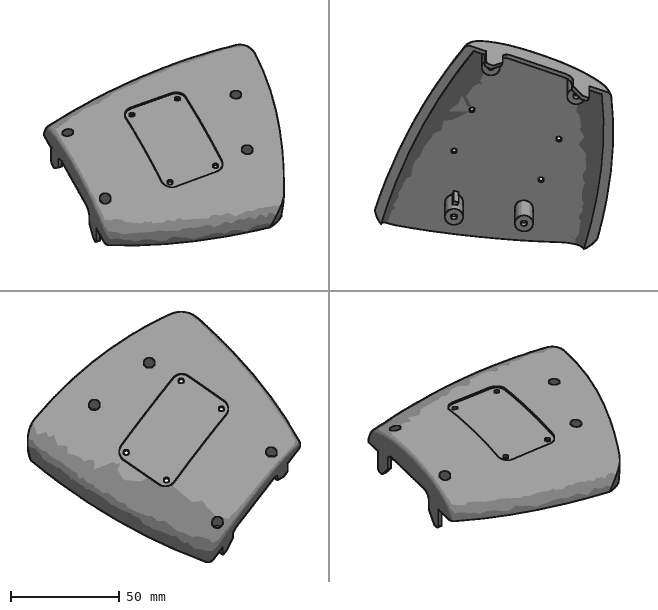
import cadquery as cq
import math


SECTIONS = [
    (0.0, -35.2, 36.2, 16.78, 0.34, 0.73),
    (35.0, -42.3, 50.0, 16.74, 0.40, 0.765),
    (70.0, -44.6, 57.4, 16.2, 0.46, 0.79),
    (108.0, -42.3, 61.0, 14.2, 0.47, 0.80),
]
HAUNCH_REACH = 0.94
SHOULDER_REACH = 0.70
RIM_ANGLE = 78.0
FRONT_FILLET = 3.0

ROOF_THICKNESS = 2.5
SIDE_THICKNESS = 4.8
FRONT_THICKNESS = 2.0

LEFT_CORNER_START = (-43.8, 95.9)
LEFT_CORNER_MIDDLE = (-38.9, 101.8)
BACK_LEFT = (-29.2, 104.88)
BACK_MIDDLE = (15.0, 97.1)
BACK_RIGHT = (49.4, 84.3)
RIGHT_CORNER_MIDDLE = (54.4, 80.5)
RIGHT_CORNER_END = (58.0, 72.3)
PLAN_MARGIN = 20.0

LEG_OUTER_X = 25.5
LEG_INNER_X = 17.4
LEG_DEPTH = 11.5
LEG_TIP_WIDTH = 3.4
LEG_TAPER_DEPTH = 5.4
LEG_TIP_FILLET = 1.6
OPENING_HEIGHT = 4.1
OPENING_RADIUS = 4.0

REAR_LEFT_POST = (-8.4, 85.9)
POST_CENTRES = [(-20.8, 6.4), (21.4, 6.4), REAR_LEFT_POST, (23.0, 77.5)]
POST_DIAMETER = 8.4
POST_DROP = 1.5
POST_RIB_WIDTH = 2.4
POST_RIB_X = -9.5
POST_RIB_BOTTOM = 2.6
POST_RIB_PROJECTION = 1.5
SCREW_DIAMETER = 2.8
SCREW_HEAD_DIAMETER = 5.1
SCREW_SEAT_THICKNESS = 3.0

RECESS_CENTRE = (3.4, 49.1)
RECESS_LENGTH = 50.5
RECESS_WIDTH = 30.3
RECESS_RADIUS = 5.0
RECESS_DEPTH = 1.0
RECESS_HOLE_SPACING_X = 43.0
RECESS_HOLE_SPACING_Y = 23.0
RECESS_HOLE_DIAMETER = 2.5

TALL = 30.0


def arch_wire(y, left, right, crown, haunch, shoulder):
    """Closed arch in the plane at Y = y: a smooth curve standing on the rim plane."""
    centre = (left + right) / 2
    half_width = (right - left) / 2
    haunch_offset = HAUNCH_REACH * half_width
    haunch_z = haunch * crown
    shoulder_offset = SHOULDER_REACH * half_width
    shoulder_z = shoulder * crown
    rise = math.radians(RIM_ANGLE)
    curve = cq.Edge.makeSpline(
        [
            cq.Vector(left, y, 0),
            cq.Vector(centre - haunch_offset, y, haunch_z),
            cq.Vector(centre - shoulder_offset, y, shoulder_z),
            cq.Vector(centre, y, crown),
            cq.Vector(centre + shoulder_offset, y, shoulder_z),
            cq.Vector(centre + haunch_offset, y, haunch_z),
            cq.Vector(right, y, 0),
        ],
        tangents=[
            cq.Vector(math.cos(rise), 0, math.sin(rise)),
            cq.Vector(math.cos(rise), 0, -math.sin(rise)),
        ],
        scale=False,
    )
    base = cq.Edge.makeLine(cq.Vector(right, y, 0), cq.Vector(left, y, 0))
    return cq.Wire.assembleEdges([curve, base])


def arch_body(side_inset=0.0, roof_inset=0.0):
    """Solid lofted through all sections, optionally set in from the outer surface."""
    wires = [
        arch_wire(y, left + side_inset, right - side_inset, crown - roof_inset, haunch, shoulder)
        for y, left, right, crown, haunch, shoulder in SECTIONS
    ]
    return cq.Workplane(obj=cq.Solid.makeLoft(wires))


def plan_prism():
    """Upright prism whose back end is the plan outline of the cover."""
    left_clear = LEFT_CORNER_START[0] - PLAN_MARGIN
    right_clear = RIGHT_CORNER_END[0] + PLAN_MARGIN
    return (
        cq.Workplane("XY", origin=(0, 0, -TALL))
        .moveTo(left_clear, -PLAN_MARGIN)
        .lineTo(left_clear, LEFT_CORNER_START[1])
        .lineTo(*LEFT_CORNER_START)
        .threePointArc(LEFT_CORNER_MIDDLE, BACK_LEFT)
        .threePointArc(BACK_MIDDLE, BACK_RIGHT)
        .threePointArc(RIGHT_CORNER_MIDDLE, RIGHT_CORNER_END)
        .lineTo(right_clear, RIGHT_CORNER_END[1])
        .lineTo(right_clear, -PLAN_MARGIN)
        .close()
        .extrude(2 * TALL)
    )


def cavity():
    """Hollow under the roof, open below and at the back, stopping at the front wall."""
    inside = arch_body(SIDE_THICKNESS, ROOF_THICKNESS)
    front_wall = cq.Workplane("XY").box(4 * LEG_OUTER_X, 2 * FRONT_THICKNESS, 2 * TALL)
    return inside.cut(front_wall)


def front_opening():
    """Cut through the front wall between the legs, rounded at its upper corners."""
    return (
        cq.Workplane("XY")
        .box(2 * LEG_INNER_X, FRONT_THICKNESS, 2 * OPENING_HEIGHT)
        .translate((0, FRONT_THICKNESS / 2, 0))
        .edges("|Y and >Z")
        .fillet(OPENING_RADIUS)
    )


def leg(side):
    """Tapered leg below the front wall; side is -1 for left and +1 for right."""
    outer = side * LEG_OUTER_X
    inner = side * LEG_INNER_X
    tip_inner = side * (LEG_OUTER_X - LEG_TIP_WIDTH)
    return (
        cq.Workplane("XZ")
        .moveTo(outer, 0)
        .lineTo(outer, -LEG_DEPTH)
        .lineTo(tip_inner, -LEG_DEPTH)
        .lineTo(inner, -LEG_TAPER_DEPTH)
        .lineTo(inner, 0)
        .close()
        .extrude(-FRONT_THICKNESS)
        .edges("|Y and <Z")
        .fillet(LEG_TIP_FILLET)
    )


def cylinders(centres, diameter, bottom, top):
    """Upright cylinders at the given plan positions."""
    return (
        cq.Workplane("XY", origin=(0, 0, bottom))
        .pushPoints(centres)
        .circle(diameter / 2)
        .extrude(top - bottom)
    )


def post_rib():
    """Narrow rib hanging from the roof along the front of the rear left post."""
    length = POST_DIAMETER / 2 + POST_RIB_PROJECTION
    return cq.Workplane("XY").box(POST_RIB_WIDTH, length, TALL, centered=(True, False, False)).translate(
        (POST_RIB_X, REAR_LEFT_POST[1] - length, POST_RIB_BOTTOM)
    )


def label_recess(outer):
    """Shallow recess whose floor follows the curve of the roof."""
    prism = (
        cq.Workplane("XY")
        .center(*RECESS_CENTRE)
        .rect(RECESS_LENGTH, RECESS_WIDTH)
        .extrude(TALL)
        .edges("|Z")
        .fillet(RECESS_RADIUS)
    )
    return prism.cut(outer.translate((0, 0, -RECESS_DEPTH)))


def recess_hole_centres():
    """Plan positions of the four holes near the corners of the recess."""
    return [
        (
            RECESS_CENTRE[0] + i * RECESS_HOLE_SPACING_X / 2,
            RECESS_CENTRE[1] + j * RECESS_HOLE_SPACING_Y / 2,
        )
        for i in (-1, 1)
        for j in (-1, 1)
    ]


outer_body = arch_body()
outer_body = outer_body.faces("<Y").edges("not <Z").fillet(FRONT_FILLET)
outer_body = outer_body.intersect(plan_prism())
result = outer_body.cut(cavity())

result = result.cut(front_opening())
for leg_side in (-1, 1):
    result = result.union(leg(leg_side))

inner_posts = cylinders(POST_CENTRES, POST_DIAMETER, 0, TALL).union(post_rib()).intersect(outer_body)
post_feet = cylinders(POST_CENTRES, POST_DIAMETER, -POST_DROP, 0)
result = result.union(inner_posts.union(post_feet))

result = result.cut(label_recess(outer_body))
result = result.cut(cylinders(recess_hole_centres(), RECESS_HOLE_DIAMETER, 0, TALL))
result = result.cut(cylinders(POST_CENTRES, SCREW_DIAMETER, -POST_DROP, TALL))
seat_z = SCREW_SEAT_THICKNESS - POST_DROP
result = result.cut(cylinders(POST_CENTRES, SCREW_HEAD_DIAMETER, seat_z, TALL))